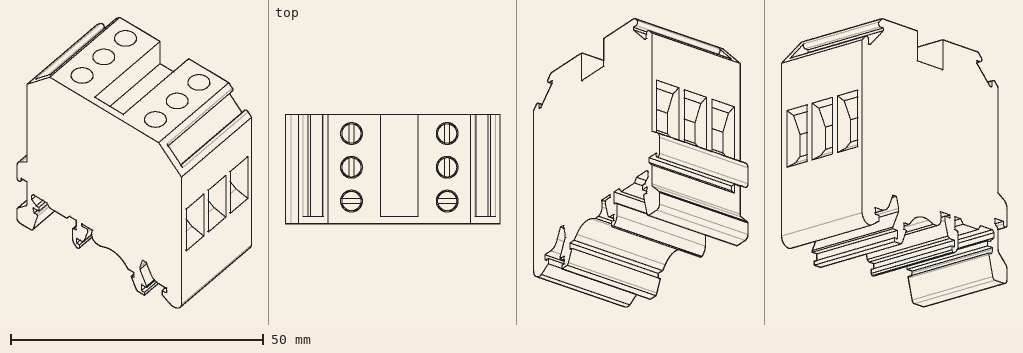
import cadquery as cq
import math

LENGTH = 42.5
WIDTH = 21.6
HEIGHT = 46.4

BODY_LEFT = 2.6
BODY_MID = (BODY_LEFT + LENGTH) / 2
PLATE = 1.5
SHOULDER = 5.9
SHOULDER_Z = HEIGHT - SHOULDER
INNER_WIDTH = WIDTH - PLATE

SEAT_Z = 10.35
HOOK_ROOT_Z = 12.9
LEDGE_Z = 18.45
LEDGE_EDGE = (1.1, 17.55)
LEDGE_SLOPE = (LEDGE_Z - LEDGE_EDGE[1]) / (BODY_LEFT - LEDGE_EDGE[0])

LIP = 0.95
LIP_RADIUS = 0.55
GROOVE_NOTCH = 0.55
GROOVE_SHIFT = 2.8

CHANNEL_WIDTH = 7.4
CHANNEL_DEPTH = 6.25
SCREW_PITCH = 6.7
POLE_COUNT = 3
FIRST_SCREW_Y = 4.5
SCREW_OFFSET = 9.45
SCREW_HOLE = 4.3
SCREW_HEAD = 3.8
SCREW_HOLE_DEPTH = 9.3
HEAD_HEIGHT = 1.4
SLOT_WIDTH = 0.97
SLOT_DEPTH = 0.7

ENTRY_PITCH = 6.77
ENTRY_WIDTH = 5.4
ENTRY_DEPTH = 3.85
ENTRY_TAPER = 0.97
ENTRY_TOP = 30.3
ENTRY_FLOOR_X = 5.1
ENTRY_BACK_LOW = 21.6
ENTRY_BACK_HIGH = 26.25
ENTRY_CEILING = (4.55, 29.75)

RELIEF = 0.95
RELIEF_Z = 10.9


def open_side():
    """XZ plane on the open side; extrusions run towards the closing plate."""
    return cq.Workplane("XZ", origin=(0, WIDTH, 0))


def hook_and_foot(path):
    """Left edge, going down from the shoulder to the bottom of the foot."""
    return (
        path.lineTo(BODY_LEFT, LEDGE_Z)
        .lineTo(*LEDGE_EDGE)
        .threePointArc((0.32, 16.9), (0, 15.9))
        .lineTo(0, 12.35)
        .threePointArc((0.55, 11.8), (1.1, 12.35))
        .lineTo(1.1, HOOK_ROOT_Z)
        .lineTo(BODY_LEFT, HOOK_ROOT_Z)
        .lineTo(BODY_LEFT, 6.65)
        .threePointArc((2.5, 6.2), (2.27, 5.9))
        .lineTo(0.2, 3.9)
        .lineTo(0, 3.53)
        .lineTo(0, 0.95)
        .threePointArc((0.3, 0.3), (0.95, 0))
        .lineTo(3.55, 0)
        .threePointArc((4.0, 0.2), (4.2, 0.6))
        .lineTo(5.35, 4.9)
        .threePointArc((5.35, 5.2), (5.1, 5.35))
    )


def first_rail_opening(path):
    """Catch on the foot, then the rail opening up to the middle leg."""
    return (
        path.lineTo(4.5, 5.35)
        .lineTo(4.2, 6.3)
        .lineTo(4.2, 6.65)
        .lineTo(5.7, 6.65)
        .lineTo(5.7, 7.7)
        .lineTo(5.0, 7.7)
        .lineTo(3.85, 8.75)
        .lineTo(3.85, 9.85)
        .lineTo(4.3, SEAT_Z)
        .lineTo(7.75, SEAT_Z)
        .lineTo(8.45, 9.35)
        .lineTo(12.9, 9.35)
        .lineTo(13.6, SEAT_Z)
        .lineTo(15.3, SEAT_Z)
    )


def middle_leg(path):
    """Hooked leg with a thin slot above its right side."""
    return (
        path.lineTo(15.3, 7.7)
        .lineTo(14.65, 7.6)
        .lineTo(14.35, 7.3)
        .lineTo(14.35, 4.6)
        .threePointArc((14.7, 3.53), (15.5, 2.8))
        .lineTo(15.95, 2.8)
        .lineTo(16.2, 3.2)
        .lineTo(16.2, 4.05)
        .lineTo(15.45, 4.05)
        .lineTo(15.45, 5.4)
        .lineTo(16.9, 5.4)
        .lineTo(17.35, 5.8)
        .lineTo(18.25, 8.85)
        .lineTo(18.25, 9.75)
        .lineTo(16.7, 9.75)
        .lineTo(16.7, SEAT_Z)
        .lineTo(19.55, SEAT_Z)
    )


def arched_belly(path):
    """Rounded bump followed by the shallow arch to the right leg."""
    return (
        path.lineTo(19.35, 9.6)
        .lineTo(19.35, 8.7)
        .threePointArc((19.7, 7.75), (20.55, 7.2))
        .lineTo(21.6, 7.2)
        .lineTo(23.0, 7.7)
        .threePointArc((26, 7.65), (27.9, 6.3))
        .lineTo(28.75, 5.4)
        .lineTo(30.2, 5.4)
    )


def right_leg(path):
    """Slanted leg with a catch, up into the narrow slot behind it."""
    return (
        path.lineTo(30.2, 4.05)
        .lineTo(29.5, 3.9)
        .lineTo(30.7, 1.2)
        .lineTo(31.05, 0.75)
        .lineTo(32.95, 0.75)
        .lineTo(32.95, 1.6)
        .lineTo(32.15, 1.6)
        .lineTo(32.15, 3.3)
        .lineTo(33.5, 3.3)
        .lineTo(33.5, 3.65)
        .lineTo(31.8, 7.35)
        .lineTo(31.8, 8.0)
        .lineTo(32.45, SEAT_Z)
        .lineTo(33.4, SEAT_Z)
    )


def right_corner(path):
    """Curved opening and the rounded catch at the lower right corner."""
    return (
        path.lineTo(34.48, 8.1)
        .threePointArc((35.35, 6.9), (36.65, 6.45))
        .lineTo(38.65, 6.45)
        .lineTo(38.65, 5.4)
        .lineTo(38.35, 5.1)
        .lineTo(37.5, 5.1)
        .lineTo(37.5, 3.9)
        .lineTo(39.8, 2.5)
        .threePointArc((41.6, 2.85), (LENGTH, 4.45))
        .lineTo(LENGTH, SHOULDER_Z)
    )


def make_body():
    path = (
        open_side()
        .moveTo(LENGTH - SHOULDER, HEIGHT)
        .lineTo(BODY_LEFT + SHOULDER, HEIGHT)
        .lineTo(BODY_LEFT, SHOULDER_Z)
    )
    stretches = (
        hook_and_foot, first_rail_opening, middle_leg,
        arched_belly, right_leg, right_corner,
    )
    for stretch in stretches:
        path = stretch(path)
    return path.close().extrude(WIDTH)


def extrude_inner(outline):
    """Extrude an XZ outline from the open side up to the closing plate."""
    return outline.close().extrude(INNER_WIDTH)


def with_mirror(shape):
    """Pair a cut on the left with its mirror image on the right."""
    return shape.union(shape.mirror("YZ", (BODY_MID, 0, 0)))


def marking_groove():
    """Undercut groove in the left shoulder, alike at its upper and lower lip."""
    low = (BODY_LEFT + LIP, SHOULDER_Z + LIP)
    high = (BODY_LEFT + SHOULDER - LIP, HEIGHT - LIP)
    reach = LIP_RADIUS * math.sin(math.radians(45))
    turn = LIP_RADIUS + reach
    mid_angle = math.radians(22.5)
    bulge_along = reach + LIP_RADIUS * math.sin(mid_angle)
    bulge_out = LIP_RADIUS * math.cos(mid_angle) - reach
    inner_low = low[0] + turn + GROOVE_NOTCH
    inner_high = high[1] - turn - GROOVE_NOTCH
    floor_offset = SHOULDER_Z - BODY_LEFT - GROOVE_SHIFT
    outline = (
        open_side()
        .moveTo(*low)
        .threePointArc((low[0] + bulge_along, low[1] + bulge_out), (low[0] + turn, low[1] - reach))
        .lineTo(low[0] + turn, inner_low + floor_offset)
        .lineTo(inner_low, inner_low + floor_offset)
        .lineTo(inner_high - floor_offset, inner_high)
        .lineTo(inner_high - floor_offset, high[1] - turn)
        .lineTo(high[0] + reach, high[1] - turn)
        .threePointArc((high[0] - bulge_out, high[1] - bulge_along), high)
        .lineTo(high[0] - LIP, high[1])
        .lineTo(low[0], low[1] + LIP)
    )
    return extrude_inner(outline)


def wire_entries():
    """Funnel pockets in the left wall, one for each pole."""
    back = BODY_LEFT + ENTRY_DEPTH
    floor_z = LEDGE_Z + (ENTRY_FLOOR_X - BODY_LEFT) * LEDGE_SLOPE
    entries = cq.Workplane()
    for pole in range(POLE_COUNT):
        near = PLATE + pole * ENTRY_PITCH
        far = near + ENTRY_WIDTH
        profile = (
            cq.Workplane("XZ", origin=(0, far, 0))
            .moveTo(BODY_LEFT, LEDGE_Z)
            .lineTo(ENTRY_FLOOR_X, floor_z)
            .lineTo(back, ENTRY_BACK_LOW)
            .lineTo(back, ENTRY_BACK_HIGH)
            .lineTo(*ENTRY_CEILING)
            .lineTo(BODY_LEFT, ENTRY_TOP)
            .close()
            .extrude(ENTRY_WIDTH)
        )
        plan = (
            cq.Workplane("XY")
            .moveTo(BODY_LEFT, near)
            .lineTo(back, near)
            .lineTo(back, far - ENTRY_TAPER)
            .lineTo(BODY_LEFT, far)
            .close()
            .extrude(HEIGHT)
        )
        entries = entries.add(profile.intersect(plan))
    return entries.combine()


def centre_channel():
    left = BODY_MID - CHANNEL_WIDTH / 2
    size = (CHANNEL_WIDTH, INNER_WIDTH, CHANNEL_DEPTH)
    corner = (left, PLATE, HEIGHT - CHANNEL_DEPTH)
    return cq.Workplane("XY").box(*size, centered=False).translate(corner)


def foot_relief():
    """Sloped recess in the left wall, behind the hook."""
    outline = (
        open_side()
        .moveTo(BODY_LEFT, RELIEF_Z)
        .lineTo(BODY_LEFT + RELIEF, RELIEF_Z + RELIEF)
        .lineTo(BODY_LEFT + RELIEF, HOOK_ROOT_Z)
        .lineTo(BODY_LEFT, HOOK_ROOT_Z)
    )
    return extrude_inner(outline)


def screw_hole(slot_along_x):
    """Cut for one screw: a deep hole that leaves a slotted head at its bottom."""
    hole = cq.Workplane("XY").circle(SCREW_HOLE / 2).extrude(SCREW_HOLE_DEPTH)
    head = cq.Workplane("XY").circle(SCREW_HEAD / 2).extrude(HEAD_HEIGHT)
    slot_size = (SCREW_HOLE, SLOT_WIDTH) if slot_along_x else (SLOT_WIDTH, SCREW_HOLE)
    slot = (
        cq.Workplane("XY", origin=(0, 0, HEAD_HEIGHT - SLOT_DEPTH))
        .rect(*slot_size)
        .extrude(SLOT_DEPTH)
    )
    return hole.cut(head.cut(slot))


def screw_holes():
    """Row of holes on the left; the screw next to the plate is turned a quarter."""
    row = cq.Workplane()
    for pole in range(POLE_COUNT):
        screw_y = FIRST_SCREW_Y + pole * SCREW_PITCH
        place = (BODY_MID - SCREW_OFFSET, screw_y, HEIGHT - SCREW_HOLE_DEPTH)
        row = row.add(screw_hole(slot_along_x=pole == 0).translate(place))
    return row.combine()


result = (
    make_body()
    .cut(with_mirror(marking_groove()))
    .cut(with_mirror(wire_entries()))
    .cut(with_mirror(screw_holes()))
    .cut(centre_channel())
    .cut(foot_relief())
    .clean()
)